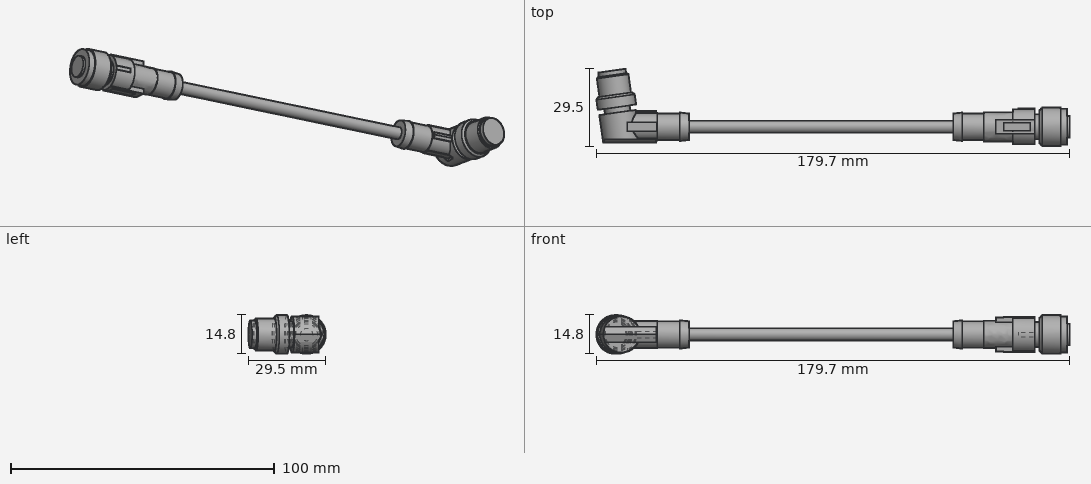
import math

import cadquery as cq


TOTAL_LENGTH = 179.69
NUT_RADIUS = 7.395
CABLE_RADIUS = 2.35
OVERLAP = 1.0

SLEEVE_RADIUS = 5.1
COLLAR_RADIUS = 5.45
COLLAR_END_RADIUS = 5.05
COLLAR_LENGTH = 3.5

ELBOW_AXIS_X = 8.91
PLUG_TILT = 8.0
ELBOW_RADIUS = 6.9
ELBOW_REACH = 3 * ELBOW_RADIUS
ELBOW_FLAT_Y = -4.75
ELBOW_TOP = 5.5
ELBOW_CREST = 7.1
SHANK_RADIUS = 5.25
SHANK_END = 23.2
ELBOW_SLEEVE_END = 35.2

RIDGE_PEAK = 6.0
RIDGE_SHOULDER = -ELBOW_FLAT_Y
INNER_RIDGE_PEAK = 6.15
INNER_RIDGE_SHOULDER = 5.7
RIDGE_HALF_WIDTH = 2.9
INNER_RIDGE_HALF_WIDTH = 1.2
RIDGE_END = 22.7

FLAT_START = 11.7
FLAT_END = 22.9
FLAT_WIDTH = 3.3
FLAT_Z = 5.25

PLUG_NECK_RADIUS = 4.9
PLUG_NUT_START = 7.5
PLUG_NUT_END = 12.3
PLUG_NUT_CHAMFER = 0.9
THREAD_RADIUS = 6.1
THREAD_END = 19.8
THREAD_CHAMFER = 0.5
NOSE_RADIUS = 5.3
NOSE_END = 21.53

SOCKET_START = 135.4
OVAL_START = 147.1
OVAL_HALF_WIDTH = 5.6
OVAL_HALF_HEIGHT = 5.2
BARREL_START = 158.1
BARREL_END = 166.4
BARREL_RADIUS = 6.7
SOCKET_NECK_RADIUS = 4.8
SOCKET_NUT_START = 168.0
SOCKET_NUT_START_RADIUS = 6.1
SOCKET_NUT_FULL = 169.3
SOCKET_NUT_END = 176.2
RIM_RADIUS = 6.9
RIM_END = 178.7
SOCKET_NOSE_RADIUS = 4.15

GRIP_START = 151.6
GRIP_WIDTH = 5.3
GRIP_Z = 6.5
PAD_START = 154.6
PAD_END = 164.7
PAD_WIDTH = 3.2
PAD_Z = 6.8
KEY_START = 160.2
KEY_WIDTH = 1.6
KEY_Y = 7.0


def turned(stations):
    """Solid of revolution about the X axis from (x, radius) stations."""
    profile = [(stations[0][0], 0)] + stations + [(stations[-1][0], 0)]
    return cq.Workplane("XY").polyline(profile).close().revolve(360, (0, 0, 0), (1, 0, 0))


def along_plug_axis(body):
    """Swing a body from the X axis onto the tilted plug axis."""
    return body.rotate((0, 0, 0), (0, 0, 1), 90 + PLUG_TILT).translate((ELBOW_AXIS_X, 0, 0))


def block(x_range, y_range, z_range):
    """Box given by its limits along each axis."""
    limits = (x_range, y_range, z_range)
    sizes = [high - low for low, high in limits]
    corner = tuple(low for low, _ in limits)
    return cq.Workplane("XY").box(*sizes, centered=False).translate(corner)


def centered_range(width):
    return (-width / 2, width / 2)


def make_cable():
    return turned([
        (ELBOW_SLEEVE_END - OVERLAP, CABLE_RADIUS),
        (SOCKET_START + OVERLAP, CABLE_RADIUS),
    ])


def make_elbow_column():
    """Long tilted column: round, with two flat facets meeting in a crest on the -X side."""
    shoulder = math.sqrt(ELBOW_RADIUS**2 - RIDGE_HALF_WIDTH**2)
    section = (
        cq.Workplane("YZ")
        .moveTo(ELBOW_CREST, 0)
        .lineTo(shoulder, RIDGE_HALF_WIDTH)
        .threePointArc((-ELBOW_RADIUS, 0), (shoulder, -RIDGE_HALF_WIDTH))
        .close()
    )
    return along_plug_axis(section.extrude(ELBOW_REACH + ELBOW_TOP).translate((-ELBOW_REACH, 0, 0)))


def make_elbow_sleeve():
    return turned([
        (ELBOW_AXIS_X, SHANK_RADIUS),
        (SHANK_END, SHANK_RADIUS),
        (SHANK_END, SLEEVE_RADIUS),
        (ELBOW_SLEEVE_END - COLLAR_LENGTH, SLEEVE_RADIUS),
        (ELBOW_SLEEVE_END - COLLAR_LENGTH, COLLAR_RADIUS),
        (ELBOW_SLEEVE_END, COLLAR_END_RADIUS),
    ])


def make_ridge(start, half_width, shoulder, peak):
    """Roof-shaped ridge along X with its crest on the +Y side."""
    outline = [
        (0, -half_width),
        (shoulder, -half_width),
        (peak, 0),
        (shoulder, half_width),
        (0, half_width),
    ]
    roof = cq.Workplane("YZ").polyline(outline).close().extrude(RIDGE_END - start)
    return roof.translate((start, 0, 0))


def make_elbow():
    column = make_elbow_column()
    full_range = centered_range(2 * ELBOW_REACH)
    below_flat = block((-ELBOW_REACH, 2 * ELBOW_REACH), (-2 * ELBOW_REACH, ELBOW_FLAT_Y), full_range)
    inner_ridge = make_ridge(
        ELBOW_AXIS_X, INNER_RIDGE_HALF_WIDTH, INNER_RIDGE_SHOULDER, INNER_RIDGE_PEAK
    )
    outer_ridge = make_ridge(0, RIDGE_HALF_WIDTH, RIDGE_SHOULDER, RIDGE_PEAK).mirror("XZ")
    before_axis = block((-ELBOW_REACH, ELBOW_AXIS_X), full_range, full_range)
    outer_ridge = outer_ridge.cut(before_axis.cut(column))

    elbow = column.cut(below_flat).union(make_elbow_sleeve())
    elbow = elbow.union(inner_ridge).union(outer_ridge)

    flat_x = (FLAT_START, FLAT_END)
    flat_y = centered_range(FLAT_WIDTH)
    elbow = elbow.union(block(flat_x, flat_y, centered_range(2 * FLAT_Z)))
    for z_range in ((FLAT_Z, 2 * FLAT_Z), (-2 * FLAT_Z, -FLAT_Z)):
        elbow = elbow.cut(block(flat_x, flat_y, z_range))
    return elbow


def make_plug():
    """Neck, nut, threaded sleeve and nose on the tilted axis."""
    return along_plug_axis(turned([
        (ELBOW_TOP - OVERLAP, PLUG_NECK_RADIUS),
        (PLUG_NUT_START, PLUG_NECK_RADIUS),
        (PLUG_NUT_START, NUT_RADIUS),
        (PLUG_NUT_END - PLUG_NUT_CHAMFER, NUT_RADIUS),
        (PLUG_NUT_END, NUT_RADIUS - PLUG_NUT_CHAMFER),
        (PLUG_NUT_END, THREAD_RADIUS),
        (THREAD_END - THREAD_CHAMFER, THREAD_RADIUS),
        (THREAD_END, THREAD_RADIUS - THREAD_CHAMFER),
        (THREAD_END, NOSE_RADIUS),
        (NOSE_END, NOSE_RADIUS),
    ]))


def make_oval():
    """Oval section between the round sleeve and the barrel, widest in Y."""
    oval = cq.Workplane("YZ").ellipse(OVAL_HALF_WIDTH, OVAL_HALF_HEIGHT)
    return oval.extrude(BARREL_START - OVAL_START).translate((OVAL_START, 0, 0))


def make_socket():
    socket = turned([
        (SOCKET_START, COLLAR_END_RADIUS),
        (SOCKET_START + COLLAR_LENGTH, COLLAR_RADIUS),
        (SOCKET_START + COLLAR_LENGTH, SLEEVE_RADIUS),
        (BARREL_START, SLEEVE_RADIUS),
        (BARREL_START, BARREL_RADIUS),
        (BARREL_END, BARREL_RADIUS),
        (BARREL_END, SOCKET_NECK_RADIUS),
        (SOCKET_NUT_START, SOCKET_NECK_RADIUS),
        (SOCKET_NUT_START, SOCKET_NUT_START_RADIUS),
        (SOCKET_NUT_FULL, NUT_RADIUS),
        (SOCKET_NUT_END, NUT_RADIUS),
        (SOCKET_NUT_END, RIM_RADIUS),
        (RIM_END, RIM_RADIUS),
        (RIM_END, SOCKET_NOSE_RADIUS),
        (TOTAL_LENGTH, SOCKET_NOSE_RADIUS),
    ])
    grips = block((GRIP_START, BARREL_END), centered_range(GRIP_WIDTH), centered_range(2 * GRIP_Z))
    pads = block((PAD_START, PAD_END), centered_range(PAD_WIDTH), centered_range(2 * PAD_Z))
    key = block((KEY_START, BARREL_END), (0, KEY_Y), centered_range(KEY_WIDTH))
    return socket.union(make_oval()).union(grips).union(pads).union(key)


result = make_cable().union(make_elbow()).union(make_plug()).union(make_socket())